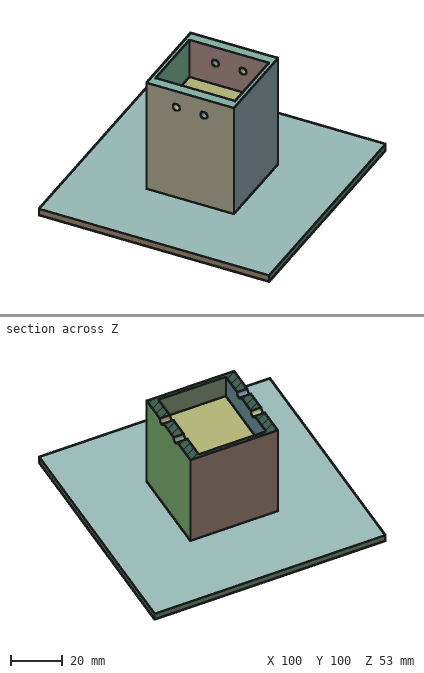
import cadquery as cq

plate_side = 100.0
plate_thickness = 3.0

tower_side = 38.0
tower_height = 50.0
tower_top = plate_thickness + tower_height

side_wall = 1.75
drilled_wall = 4.5
pocket_length = tower_side - 2 * side_wall
pocket_width = tower_side - 2 * drilled_wall
pocket_depth = 17.5

hole_diameter = 3.0
hole_spacing = 12.0
hole_drop = 7.5


def make_body():
    """Plate with the solid tower on top."""
    plate = cq.Workplane("XY").box(plate_side, plate_side, plate_thickness, centered=(True, True, False))
    tower = cq.Workplane("XY").box(tower_side, tower_side, tower_top, centered=(True, True, False))
    return plate.union(tower)


def make_pocket():
    """Volume removed from the tower top."""
    return (
        cq.Workplane("XY")
        .workplane(offset=tower_top - pocket_depth)
        .rect(pocket_length, pocket_width)
        .extrude(pocket_depth)
    )


def make_pin_holes():
    """Pair of cylinders crossing the whole tower along Y."""
    half_spacing = hole_spacing / 2
    hole_height = tower_top - hole_drop
    return (
        cq.Workplane("XZ")
        .pushPoints([(-half_spacing, hole_height), (half_spacing, hole_height)])
        .circle(hole_diameter / 2)
        .extrude(tower_side / 2, both=True)
    )


result = make_body().cut(make_pocket()).cut(make_pin_holes())